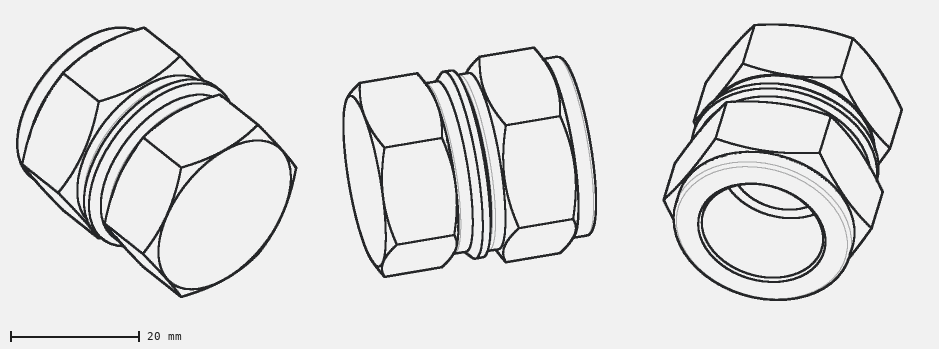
import cadquery as cq
import math

length = 33.67
collar_end = 2.93
large_hex_end = 14.6
shoulder_end = 16.6
groove_end = 17.25
rim_end = 18.45
taper_end = 19.73
small_hex_start = 22.02

large_hex_corners = 33.0
small_hex_flats = 26.97
small_hex_corners = small_hex_flats / math.cos(math.radians(30))
large_hex_face_diameter = 27.8
small_hex_face_diameter = 26.9
hex_chamfer_angle = 30.0

collar_diameter = 28.2
shoulder_diameter = 27.8
groove_diameter = 25.4
rim_diameter = 29.5
neck_diameter = 26.9
collar_round = 0.55
shoulder_round = 0.4
neck_round = 0.37

bore_diameter = 19.25
bore_mouth_diameter = 20.2
bore_depth = 14.6
drill_diameter = 15.75
drill_depth = 23.57
drill_point_angle = 160.0


def cylinder(start, end, diameter):
    """Solid cylinder along X between two stations."""
    return cq.Workplane("YZ", origin=(start, 0, 0)).circle(diameter / 2).extrude(end - start)


def revolve_about_x(points):
    """Revolve a closed (station, radius) outline about the X axis."""
    return cq.Workplane("XY").polyline(points).close().revolve(360, (0, 0, 0), (1, 0, 0))


def hex_nut(start, end, corners, face_diameter):
    """Hexagonal prism whose corners are cut by a cone at both ends."""
    prism = cq.Workplane("YZ", origin=(start, 0, 0)).polygon(6, corners).extrude(end - start)
    face_radius = face_diameter / 2
    corner_radius = corners / 2
    cone_length = (corner_radius - face_radius) * math.tan(math.radians(hex_chamfer_angle))
    envelope = revolve_about_x([
        (start, 0),
        (start, face_radius),
        (start + cone_length, corner_radius),
        (end - cone_length, corner_radius),
        (end, face_radius),
        (end, 0),
    ])
    return prism.intersect(envelope)


def tapered_rim():
    """Largest ring, tapering down to the neck."""
    return revolve_about_x([
        (groove_end, 0),
        (groove_end, rim_diameter / 2),
        (rim_end, rim_diameter / 2),
        (taper_end, neck_diameter / 2),
        (taper_end, 0),
    ])


def stepped_bore():
    """Bore with a chamfered mouth, a flat step and a drilled end."""
    bore_radius = bore_diameter / 2
    mouth_radius = bore_mouth_diameter / 2
    drill_radius = drill_diameter / 2
    point_length = drill_radius / math.tan(math.radians(drill_point_angle / 2))
    return revolve_about_x([
        (0, 0),
        (0, mouth_radius),
        (mouth_radius - bore_radius, bore_radius),
        (bore_depth, bore_radius),
        (bore_depth, drill_radius),
        (drill_depth, drill_radius),
        (drill_depth + point_length, 0),
    ])


collar = cylinder(0, collar_end, collar_diameter).edges("<X").fillet(collar_round)
large_nut = hex_nut(collar_end, large_hex_end, large_hex_corners, large_hex_face_diameter)
shoulder = cylinder(large_hex_end, shoulder_end, shoulder_diameter).edges(">X").fillet(shoulder_round)
groove = cylinder(shoulder_end, groove_end, groove_diameter)
neck = cylinder(taper_end, small_hex_start, neck_diameter).edges(">X").fillet(neck_round)
small_nut = hex_nut(small_hex_start, length, small_hex_corners, small_hex_face_diameter)

result = collar
for section in (large_nut, shoulder, groove, tapered_rim(), neck, small_nut):
    result = result.union(section)
result = result.cut(stepped_bore())